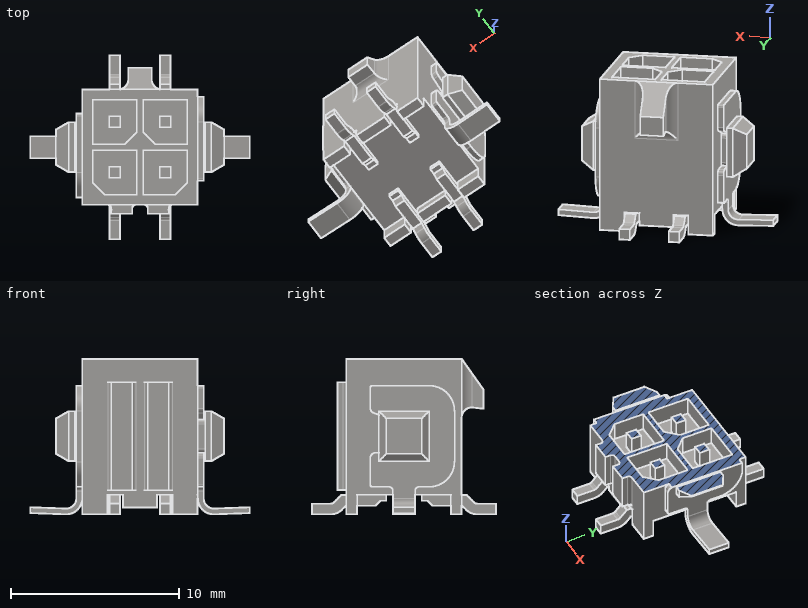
import cadquery as cq
import math


HOUSING_WIDTH = 6.86
HALF_HOUSING = HOUSING_WIDTH / 2
HOUSING_TOP = 9.24
UNDERSIDE_Z = 1.16
FOOT_LENGTH = 1.50
FOOT_THICKNESS = 0.65
SKIRT_WIDTH = 2.04
SKIRT_BOTTOM_Z = 0.40

PITCH = 3.00
CAVITY_SIZE = 2.63
CAVITY_CHAMFER = 0.71
CAVITY_FLOOR_Z = 2.50
CONTACT_SIZE = 0.65
CONTACT_TIP_Z = 6.50

TAIL_TIP_Y = 5.47
TAIL_INNER_Y = 1.05
TAIL_BEND_ANGLE = 45
TAIL_BEND_END_Y = 4.34
TAIL_INNER_RADIUS = 0.25
TAIL_HEEL_THICKNESS = 0.36
TAIL_HEEL_Y = 1.40

RIB_WIDTH = 1.25
RIB_OFFSET = 1.08
RIB_DEPTH = 0.53
RIB_BOTTOM_Z = 1.44
RIB_TOP_Z = 7.86
RIB_FILLET = 0.20

LATCH_WIDTH = 1.40
LATCH_TIP_Y = 4.73
LATCH_TIP_TOP_Z = 7.41
LATCH_TIP_BOTTOM_Z = 6.27
LATCH_CATCH_Z = 6.35
LATCH_FILLET = 0.60

SHEET = 0.36
CLIP_FRONT_Y = -3.00
CLIP_REAR_Y = 2.00
CLIP_BOTTOM_Z = 1.64
CLIP_TOP_Z = 7.65
CLIP_FRONT_RADIUS = 1.50
CLIP_REAR_RADIUS = 0.12
SLOT_MOUTH_RADIUS = 0.30
SLOT_MOUTH_TOP_Z = 6.10
SLOT_SLOPE = 20
SLOT_END_Y = 0.80
SLOT_END_RADIUS = 0.15
TAB_WIDTH = 1.32
TAB_ROOT_RADIUS = 0.24
TAB_BEND_RADIUS = 0.95
TAB_BEND_ANGLE = 92
TAB_TIP_X = 6.52

PEG_CENTER_Z = 4.65
NECK_SIZE = 1.98
NECK_CORNER_RADIUS = 0.24
HEAD_SIZE = 2.98
HEAD_END_SIZE = 2.10
HEAD_INNER_X = 3.87
HEAD_SHOULDER_X = 4.235
HEAD_END_X = 5.00


def block(x_range, y_range, z_range):
    """Axis-aligned box spanning the given (low, high) ranges."""
    lows, highs = zip(x_range, y_range, z_range)
    size = [high - low for low, high in zip(lows, highs)]
    return cq.Workplane("XY").box(*size, centered=False).translate(lows)


def make_housing():
    """Square block standing on four corner feet, with a short skirt between the front and rear feet."""
    wall = (-HALF_HOUSING, HALF_HOUSING)
    housing = block(wall, wall, (UNDERSIDE_Z, HOUSING_TOP))
    foot_inner_x = HALF_HOUSING - FOOT_LENGTH
    for side_y in (-1, 1):
        y_range = sorted((side_y * HALF_HOUSING, side_y * (HALF_HOUSING - FOOT_THICKNESS)))
        for side_x in (-1, 1):
            x_range = sorted((side_x * foot_inner_x, side_x * HALF_HOUSING))
            housing = housing.union(block(x_range, y_range, (0, UNDERSIDE_Z)))
        skirt_x = (-SKIRT_WIDTH / 2, SKIRT_WIDTH / 2)
        housing = housing.union(block(skirt_x, y_range, (SKIRT_BOTTOM_Z, UNDERSIDE_Z)))
    return housing


def make_cavity(side_x, side_y):
    """Square cavity with one keying corner: inner corner in the rear row, outer corner in the front row."""
    cavity = cq.Workplane("XY", origin=(side_x * PITCH / 2, side_y * PITCH / 2, CAVITY_FLOOR_Z))
    cavity = cavity.rect(CAVITY_SIZE, CAVITY_SIZE).extrude(HOUSING_TOP - CAVITY_FLOOR_Z)
    key_side_x = -side_x * side_y
    corner = "<Y and >X" if key_side_x > 0 else "<Y and <X"
    return cavity.edges("|Z").edges(corner).chamfer(CAVITY_CHAMFER)


def make_contact(side_x):
    """Rear-row contact: a square pin above the floor and a gull-wing tail below the housing."""
    x_center = side_x * PITCH / 2
    x_range = (x_center - CONTACT_SIZE / 2, x_center + CONTACT_SIZE / 2)
    y_range = ((PITCH - CONTACT_SIZE) / 2, (PITCH + CONTACT_SIZE) / 2)
    pin = block(x_range, y_range, (UNDERSIDE_Z, CONTACT_TIP_Z))

    bend = math.radians(TAIL_BEND_ANGLE)
    half_bend = bend / 2
    outer_radius = TAIL_INNER_RADIUS + CONTACT_SIZE
    center_z = outer_radius

    def bend_point(radius, angle):
        y = TAIL_BEND_END_Y - radius * math.sin(angle)
        return (y, center_z - radius * math.cos(angle))

    inner_end = bend_point(TAIL_INNER_RADIUS, bend)
    outer_end = bend_point(outer_radius, bend)
    upper_bottom_z = UNDERSIDE_Z - CONTACT_SIZE
    heel_bottom_z = UNDERSIDE_Z - TAIL_HEEL_THICKNESS
    slope_top_y = inner_end[0] - (UNDERSIDE_Z - inner_end[1]) / math.tan(bend)
    slope_bottom_y = outer_end[0] - (upper_bottom_z - outer_end[1]) / math.tan(bend)
    heel_end_y = TAIL_HEEL_Y + heel_bottom_z - upper_bottom_z

    tail = (
        cq.Workplane("YZ", origin=(x_range[0], 0, 0))
        .moveTo(TAIL_INNER_Y, UNDERSIDE_Z)
        .lineTo(slope_top_y, UNDERSIDE_Z)
        .lineTo(*inner_end)
        .threePointArc(bend_point(TAIL_INNER_RADIUS, half_bend), (TAIL_BEND_END_Y, CONTACT_SIZE))
        .lineTo(TAIL_TIP_Y, CONTACT_SIZE)
        .lineTo(TAIL_TIP_Y, 0)
        .lineTo(TAIL_BEND_END_Y, 0)
        .threePointArc(bend_point(outer_radius, half_bend), outer_end)
        .lineTo(slope_bottom_y, upper_bottom_z)
        .lineTo(heel_end_y, upper_bottom_z)
        .lineTo(TAIL_HEEL_Y, heel_bottom_z)
        .lineTo(TAIL_INNER_Y, heel_bottom_z)
        .close()
        .extrude(CONTACT_SIZE)
    )
    return pin.union(tail)


def make_rib(side_x):
    """Vertical rib on the front wall with a concave fillet along each side of its root."""
    half_width = RIB_WIDTH / 2
    half_root = half_width + RIB_FILLET
    rib = (
        cq.Workplane("XY", origin=(side_x * RIB_OFFSET, -HALF_HOUSING, RIB_BOTTOM_Z))
        .moveTo(-half_root, 0)
        .radiusArc((-half_width, -RIB_FILLET), RIB_FILLET)
        .lineTo(-half_width, -RIB_DEPTH)
        .lineTo(half_width, -RIB_DEPTH)
        .lineTo(half_width, -RIB_FILLET)
        .radiusArc((half_root, 0), RIB_FILLET)
        .close()
        .extrude(RIB_TOP_Z - RIB_BOTTOM_Z)
    )
    return rib


def make_latch():
    """Ramp on the rear wall, flared at its root and undercut to a catch face."""
    half_width = LATCH_WIDTH / 2
    half_root = half_width + LATCH_FILLET
    fillet_end_y = HALF_HOUSING + LATCH_FILLET
    plan = (
        cq.Workplane("XY")
        .moveTo(-half_root, HALF_HOUSING)
        .radiusArc((-half_width, fillet_end_y), -LATCH_FILLET)
        .lineTo(-half_width, LATCH_TIP_Y)
        .lineTo(half_width, LATCH_TIP_Y)
        .lineTo(half_width, fillet_end_y)
        .radiusArc((half_root, HALF_HOUSING), -LATCH_FILLET)
        .close()
        .extrude(HOUSING_TOP)
    )
    profile = (
        cq.Workplane("YZ")
        .moveTo(HALF_HOUSING, HOUSING_TOP)
        .lineTo(LATCH_TIP_Y, LATCH_TIP_TOP_Z)
        .lineTo(LATCH_TIP_Y, LATCH_TIP_BOTTOM_Z)
        .lineTo(fillet_end_y, LATCH_CATCH_Z)
        .radiusArc((HALF_HOUSING, LATCH_CATCH_Z - LATCH_FILLET), -LATCH_FILLET)
        .close()
        .extrude(half_root, both=True)
    )
    return plan.intersect(profile)


def make_clip_plate():
    """Plate on the -X wall with a slot open to the rear, whose upper edge slopes down to the peg neck."""
    slot_bottom_z = PEG_CENTER_Z - NECK_SIZE / 2
    slot_drop = (CLIP_REAR_Y - SLOT_END_Y) * math.tan(math.radians(SLOT_SLOPE))
    slot_end_top_z = SLOT_MOUTH_TOP_Z - slot_drop
    half_tab = TAB_WIDTH / 2
    outline = [
        (CLIP_FRONT_Y, CLIP_TOP_Z),
        (CLIP_REAR_Y, CLIP_TOP_Z),
        (CLIP_REAR_Y, SLOT_MOUTH_TOP_Z),
        (SLOT_END_Y, slot_end_top_z),
        (SLOT_END_Y, slot_bottom_z),
        (CLIP_REAR_Y, slot_bottom_z),
        (CLIP_REAR_Y, CLIP_BOTTOM_Z),
        (half_tab, CLIP_BOTTOM_Z),
        (half_tab, TAB_BEND_RADIUS),
        (-half_tab, TAB_BEND_RADIUS),
        (-half_tab, CLIP_BOTTOM_Z),
        (CLIP_FRONT_Y, CLIP_BOTTOM_Z),
    ]
    outer_x = -HALF_HOUSING - SHEET
    plate = cq.Workplane("YZ", origin=(outer_x, 0, 0)).polyline(outline).close().extrude(SHEET)
    rounded_corners = [
        (CLIP_FRONT_RADIUS, [(CLIP_FRONT_Y, CLIP_TOP_Z), (CLIP_FRONT_Y, CLIP_BOTTOM_Z)]),
        (CLIP_REAR_RADIUS, [(CLIP_REAR_Y, CLIP_TOP_Z), (CLIP_REAR_Y, CLIP_BOTTOM_Z)]),
        (SLOT_MOUTH_RADIUS, [(CLIP_REAR_Y, SLOT_MOUTH_TOP_Z), (CLIP_REAR_Y, slot_bottom_z)]),
        (SLOT_END_RADIUS, [(SLOT_END_Y, slot_end_top_z)]),
        (TAB_ROOT_RADIUS, [(half_tab, CLIP_BOTTOM_Z), (-half_tab, CLIP_BOTTOM_Z)]),
    ]
    for radius, corners in rounded_corners:
        for y, z in corners:
            corner_edge = cq.selectors.NearestToPointSelector((outer_x + SHEET / 2, y, z))
            plate = plate.edges("|X").edges(corner_edge).fillet(radius)
    return plate


def make_solder_tab():
    """Tab that continues the plate downward and bends outward, rising slightly to its tip."""
    center_x = -HALF_HOUSING - TAB_BEND_RADIUS
    inner_radius = TAB_BEND_RADIUS - SHEET
    bend = math.radians(TAB_BEND_ANGLE)
    tip_slope = bend - math.pi / 2

    def bend_point(radius, angle):
        x = center_x + radius * math.cos(angle)
        return (x, TAB_BEND_RADIUS - radius * math.sin(angle))

    outer_end = bend_point(TAB_BEND_RADIUS, bend)
    inner_end = bend_point(inner_radius, bend)

    def tip_point(bend_end):
        rise = (bend_end[0] + TAB_TIP_X) * math.tan(tip_slope)
        return (-TAB_TIP_X, bend_end[1] + rise)

    return (
        cq.Workplane("XZ")
        .moveTo(*bend_point(TAB_BEND_RADIUS, 0))
        .threePointArc(bend_point(TAB_BEND_RADIUS, bend / 2), outer_end)
        .lineTo(*tip_point(outer_end))
        .lineTo(*tip_point(inner_end))
        .lineTo(*inner_end)
        .threePointArc(bend_point(inner_radius, bend / 2), bend_point(inner_radius, 0))
        .close()
        .extrude(TAB_WIDTH / 2, both=True)
    )


def make_peg():
    """Peg on the -X wall: a rounded square neck carrying a square head that tapers outward."""
    def square(x, size):
        return cq.Workplane("YZ", origin=(-x, 0, PEG_CENTER_Z)).rect(size, size)

    neck = square(HEAD_INNER_X, NECK_SIZE).extrude(HEAD_INNER_X - HALF_HOUSING)
    neck = neck.edges("|X").fillet(NECK_CORNER_RADIUS)
    shoulder = square(HEAD_SHOULDER_X, HEAD_SIZE).extrude(HEAD_SHOULDER_X - HEAD_INNER_X)
    taper_length = HEAD_END_X - HEAD_SHOULDER_X
    taper = (
        square(HEAD_END_X, HEAD_END_SIZE)
        .workplane(offset=taper_length)
        .rect(HEAD_SIZE, HEAD_SIZE)
        .loft(ruled=True)
    )
    return neck.union(shoulder).union(taper)


def half_turn(shape):
    """Shape rotated 180 degrees about the vertical housing axis."""
    return shape.rotate((0, 0, 0), (0, 0, 1), 180)


result = make_housing()
for row in (-1, 1):
    for column in (-1, 1):
        result = result.cut(make_cavity(column, row))

for column in (-1, 1):
    contact = make_contact(column)
    result = result.union(contact).union(half_turn(contact))
    result = result.union(make_rib(column))

result = result.union(make_latch())

side_fitting = make_clip_plate().union(make_solder_tab()).union(make_peg())
result = result.union(side_fitting).union(half_turn(side_fitting))